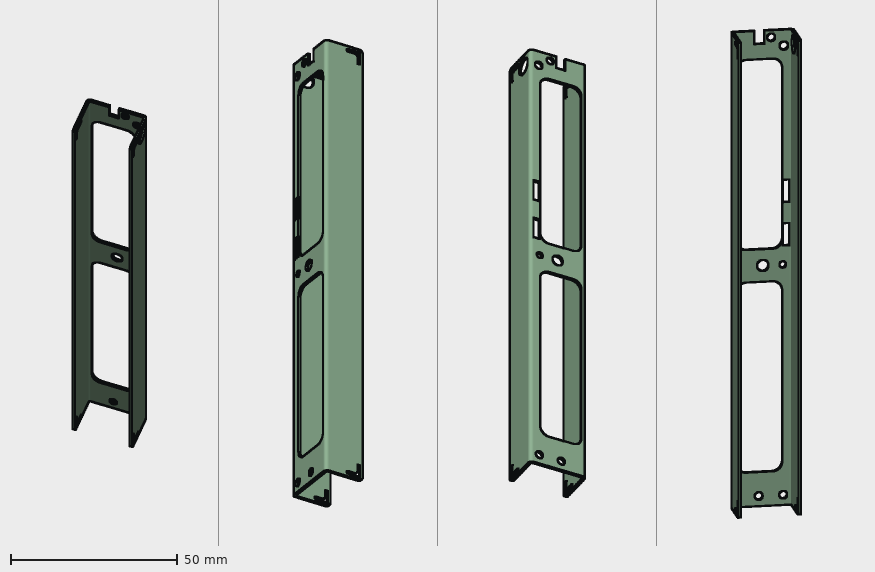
import cadquery as cq

WIDTH = 19.18
DEPTH = 13.15
HEIGHT = 148.8
THICKNESS = 0.8
INNER_BEND_RADIUS = 0.4
OUTER_BEND_RADIUS = THICKNESS + INNER_BEND_RADIUS
FLANGE_CORNER_RADIUS = 1.3

HALF_HEIGHT = HEIGHT / 2
WEB_BACK_Y = DEPTH / 2
FLANGE_EDGE_Y = -DEPTH / 2

WINDOW_WIDTH = 14.1
WINDOW_HEIGHT = 59.5
WINDOW_CENTER_X = -0.95
WINDOW_RADIUS = 3.0
WINDOW_SPACING = 69.7
MIDDLE_Z = 0.9

NOTCH_WIDTH = 3.1
NOTCH_DEPTH = 4.1
NOTCH_CENTER_X = -0.9

SLOT_WIDTH = 2.1
SLOT_HEIGHT = 7.0
SLOT_CENTER_X = 7.3
SLOT_CENTERS_Z = (23.9, 10.3)

BOTTOM_HOLE_DIAMETER = 2.41
BOTTOM_HOLE_Z = 3.2 - HALF_HEIGHT
WEB_HOLES = (
    (2.41, 2.7, HALF_HEIGHT - 2.2),
    (2.6, 6.6, HALF_HEIGHT - 5.0),
    (3.5, 0.15, MIDDLE_Z),
    (2.0, 6.25, MIDDLE_Z),
    (BOTTOM_HOLE_DIAMETER, -1.1, BOTTOM_HOLE_Z),
    (BOTTOM_HOLE_DIAMETER, 6.4, BOTTOM_HOLE_Z),
)

FLANGE_HOLE_DIAMETER = 5.56
FLANGE_HOLE_Y = 2.1
FLANGE_HOLE_Z = HALF_HEIGHT - 3.7

L_SLOT_MARGIN = 0.95
L_SLOT_THICKNESS = 0.9
L_SLOT_LENGTH_Y = 4.7
L_SLOT_LENGTH_Z = 4.1
L_SLOT_INNER_RADIUS = 1.0


def make_channel():
    """Bent U-section with the free flange corners rounded."""
    outer = cq.Workplane("XY").box(WIDTH, DEPTH, HEIGHT)
    outer = outer.edges("|Z and >Y").fillet(OUTER_BEND_RADIUS)
    outer = outer.edges("|X and <Y").fillet(FLANGE_CORNER_RADIUS)
    inner = cq.Workplane("XY").box(WIDTH - 2 * THICKNESS, DEPTH, HEIGHT)
    inner = inner.edges("|Z and >Y").fillet(INNER_BEND_RADIUS)
    return outer.cut(inner.translate((0, -THICKNESS, 0)))


def web_block(width, height, x, z):
    """Rectangular cutter that passes through the web only."""
    cut_depth = 2 * THICKNESS
    web_middle_y = WEB_BACK_Y - THICKNESS / 2
    return cq.Workplane("XY").box(width, cut_depth, height).translate((x, web_middle_y, z))


def web_hole(diameter, x, z):
    """Round cutter that runs along +Y from the middle of the part through the web."""
    plane = cq.Workplane("XZ", origin=(x, 0, z))
    return plane.circle(diameter / 2).extrude(-DEPTH)


def window(z):
    """Window cutter with rounded corners."""
    block = web_block(WINDOW_WIDTH, WINDOW_HEIGHT, WINDOW_CENTER_X, z)
    return block.edges("|Y").fillet(WINDOW_RADIUS)


def notch():
    """Cutter open at the top edge of the web."""
    return web_block(NOTCH_WIDTH, 2 * NOTCH_DEPTH, NOTCH_CENTER_X, HALF_HEIGHT)


def flange_hole():
    """Round cutter through the +X flange."""
    plane = cq.Workplane("YZ", origin=(0, FLANGE_HOLE_Y, FLANGE_HOLE_Z))
    return plane.circle(FLANGE_HOLE_DIAMETER / 2).extrude(WIDTH)


def top_l_slot():
    """L-shaped cutter through both flanges at the top free corner, rounded at its +Y end."""
    y = FLANGE_EDGE_Y + L_SLOT_MARGIN
    z = HALF_HEIGHT - L_SLOT_MARGIN
    inner_y = y + L_SLOT_THICKNESS
    inner_z = z - L_SLOT_THICKNESS
    round_end_y = y + L_SLOT_LENGTH_Y - L_SLOT_THICKNESS / 2
    bottom_z = z - L_SLOT_LENGTH_Z
    outline = (
        cq.Workplane("YZ")
        .moveTo(y, z)
        .lineTo(round_end_y, z)
        .tangentArcPoint((0, -L_SLOT_THICKNESS))
        .lineTo(inner_y + L_SLOT_INNER_RADIUS, inner_z)
        .tangentArcPoint((-L_SLOT_INNER_RADIUS, -L_SLOT_INNER_RADIUS))
        .lineTo(inner_y, bottom_z)
        .lineTo(y, bottom_z)
        .close()
    )
    return outline.extrude(WIDTH, both=True)


result = make_channel()
for side in (1, -1):
    result = result.cut(window(MIDDLE_Z + side * WINDOW_SPACING / 2))
result = result.cut(notch())
for slot_z in SLOT_CENTERS_Z:
    result = result.cut(web_block(SLOT_WIDTH, SLOT_HEIGHT, SLOT_CENTER_X, slot_z))
for diameter, hole_x, hole_z in WEB_HOLES:
    result = result.cut(web_hole(diameter, hole_x, hole_z))
result = result.cut(flange_hole())
l_slot = top_l_slot()
result = result.cut(l_slot).cut(l_slot.mirror("XY"))